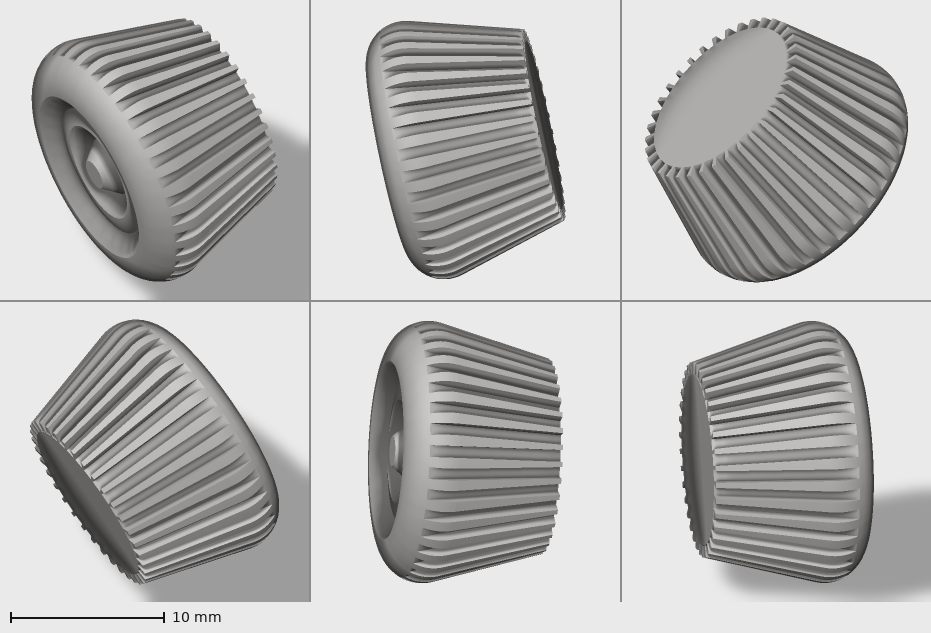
import cadquery as cq
import math

LENGTH = 10.46
MAX_RADIUS = 8.535
RIM_ROUND = 2.55
TAPER_DEG = 16.0
RIM_CENTRE_RADIUS = MAX_RADIUS - RIM_ROUND

DISH_MOUTH_RADIUS = 5.86
RING_OUTER_RADIUS = 4.55
RING_OUTER_DEPTH = 0.96
RING_INNER_RADIUS = 3.37
RING_INNER_DEPTH = 0.73
PIP_BASE_RADIUS = 2.0
PIP_BASE_DEPTH = 1.62
PIP_TIP_RADIUS = 1.0
PIP_TIP_DEPTH = 0.4

GROOVE_COUNT = 36
GROOVE_WIDTH = 0.77
GROOVE_START = 1.3
CUTTER_OVERRUN = 2.0

FRONT_Y = 0.0
BACK_Y = FRONT_Y + LENGTH
RIM_CENTRE_Y = FRONT_Y + RIM_ROUND


def rim_point(angle_deg):
    """Point (radius, y) on the rim round; 0 degrees is outermost, +90 is toward the back."""
    angle = math.radians(angle_deg)
    radius = RIM_CENTRE_RADIUS + RIM_ROUND * math.cos(angle)
    return radius, RIM_CENTRE_Y + RIM_ROUND * math.sin(angle)


def taper_drop(axial_distance):
    """Loss of radius along the tapered side over an axial distance."""
    return axial_distance * math.tan(math.radians(TAPER_DEG))


def make_body():
    """Revolve the dished front, rounded rim and tapered side about Y."""
    cone_start_radius, cone_start_y = rim_point(TAPER_DEG)
    back_radius = cone_start_radius - taper_drop(BACK_Y - cone_start_y)
    mouth_y = RIM_CENTRE_Y - math.sqrt(RIM_ROUND**2 - (DISH_MOUTH_RADIUS - RIM_CENTRE_RADIUS) ** 2)
    profile = (
        cq.Workplane("XY")
        .moveTo(0, FRONT_Y + PIP_TIP_DEPTH)
        .lineTo(PIP_TIP_RADIUS, FRONT_Y + PIP_TIP_DEPTH)
        .lineTo(PIP_BASE_RADIUS, FRONT_Y + PIP_BASE_DEPTH)
        .lineTo(RING_INNER_RADIUS, FRONT_Y + RING_INNER_DEPTH)
        .lineTo(RING_OUTER_RADIUS, FRONT_Y + RING_OUTER_DEPTH)
        .lineTo(DISH_MOUTH_RADIUS, mouth_y)
        .threePointArc(rim_point(-TAPER_DEG), (cone_start_radius, cone_start_y))
        .lineTo(back_radius, BACK_Y)
        .lineTo(0, BACK_Y)
        .close()
    )
    return profile.revolve(360, (0, 0, 0), (0, 1, 0))


def make_groove_cutter():
    """Flat-bottomed cutter on +X whose floor leaves the rim round and follows the taper."""
    rim_offset = RIM_CENTRE_Y - (FRONT_Y + GROOVE_START)
    floor_start_radius = RIM_CENTRE_RADIUS + math.sqrt(RIM_ROUND**2 - rim_offset**2)
    groove_start_y = FRONT_Y + GROOVE_START
    end_y = BACK_Y + CUTTER_OVERRUN
    floor_end_radius = floor_start_radius - taper_drop(end_y - groove_start_y)
    outer_radius = MAX_RADIUS + CUTTER_OVERRUN
    outline = [
        (floor_start_radius, groove_start_y),
        (floor_end_radius, end_y),
        (outer_radius, end_y),
        (outer_radius, groove_start_y),
    ]
    return cq.Workplane("XY").polyline(outline).close().extrude(GROOVE_WIDTH / 2, both=True)


def cut_grooves(body):
    """Cut the evenly spaced grip grooves."""
    cutter = make_groove_cutter()
    pitch_deg = 360 / GROOVE_COUNT
    for index in range(GROOVE_COUNT):
        body = body.cut(cutter.rotate((0, 0, 0), (0, 1, 0), index * pitch_deg))
    return body


result = cut_grooves(make_body())